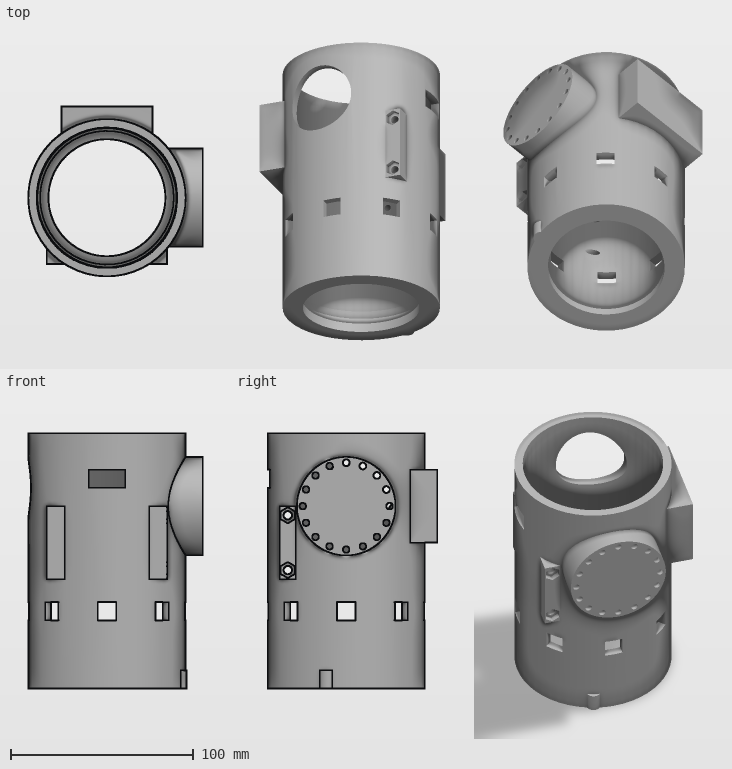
import cadquery as cq
import math

height = 140.0
outer_radius = 43.1
bore_radius = 38.5

shallow_step_radius = 38.1
shallow_step_top = 15.0
seat_radius = 36.6
seat_top = 10.0
opening_radius = 32.0
lip_thickness = 5.0

boss_radius = 27.0
boss_tip = 52.5
boss_height = 100.0
boss_hole_count = 16
boss_hole_diameter = 3.6
boss_hole_circle_radius = 23.8

block_width = 50.0
block_tip = 50.0
block_bottom = 80.0
block_top = 120.0

lug_side = 33.0
lug_front = 36.4
lug_bottom = 60.0
lug_top = 100.0
lug_hole_inset = 5.0
lug_hole_diameter = 4.5
lug_hole_offset = 32.0
nut_width = 7.6
nut_depth = 3.0

port_radius = 19.0
port_offset = 8.0
port_height = 110.0

window_width = 20.0
window_bottom = 110.0
window_top = 120.0

slot_count = 8
slot_size = 10.0
slot_height = 42.5

nub_radius = 4.0
nub_height = 10.0
nub_circle_radius = 41.1
nub_angle = math.radians(-15)


def box(x_range, y_range, z_range):
    """Box spanning the given (low, high) ranges."""
    sizes = [high - low for low, high in (x_range, y_range, z_range)]
    corner = (x_range[0], y_range[0], z_range[0])
    return cq.Workplane("XY").box(*sizes, centered=False).translate(corner)


def rod(radius, start, length, points):
    """Cylinders along +X from X = start, centred on the (Y, Z) points."""
    return cq.Workplane("YZ", origin=(start, 0, 0)).pushPoints(points).circle(radius).extrude(length)


def outside_body():
    """Solid outer shape, before the bore is opened."""
    body = cq.Workplane("XY").circle(outer_radius).extrude(height)
    body = body.union(rod(boss_radius, 0, boss_tip, [(0, boss_height)]))
    half_block = block_width / 2
    body = body.union(box((-half_block, half_block), (0, block_tip), (block_bottom, block_top)))
    body = body.union(box((-lug_side, lug_side), (-lug_front, 0), (lug_bottom, lug_top)))
    nub_x = nub_circle_radius * math.cos(nub_angle)
    nub_y = nub_circle_radius * math.sin(nub_angle)
    nub = cq.Workplane("XY").center(nub_x, nub_y).circle(nub_radius).extrude(nub_height)
    return body.union(nub)


def stepped_bore():
    """Main bore, the seat below it and the smaller bottom opening."""
    bore = cq.Workplane("XY").circle(opening_radius).extrude(height)
    steps = (
        (seat_radius, lip_thickness),
        (shallow_step_radius, seat_top),
        (bore_radius, shallow_step_top),
    )
    for radius, floor in steps:
        step = cq.Workplane("XY", origin=(0, 0, floor)).circle(radius).extrude(height - floor)
        bore = bore.union(step)
    return bore


def boss_holes():
    """Ring of holes through the boss into the bore."""
    points = []
    for index in range(boss_hole_count):
        angle = 2 * math.pi * index / boss_hole_count
        y = boss_hole_circle_radius * math.cos(angle)
        z = boss_height + boss_hole_circle_radius * math.sin(angle)
        points.append((y, z))
    return rod(boss_hole_diameter / 2, 0, boss_tip, points)


def lug_holes():
    """Cross holes through both lugs, with a hexagonal nut pocket at each outer end."""
    points = [(-lug_hole_offset, z) for z in (lug_bottom + lug_hole_inset, lug_top - lug_hole_inset)]
    holes = rod(lug_hole_diameter / 2, -lug_side, 2 * lug_side, points)
    nut_corner_diameter = nut_width / math.cos(math.pi / 6)
    for start in (-lug_side, lug_side - nut_depth):
        plane = cq.Workplane("YZ", origin=(start, 0, 0)).pushPoints(points)
        nut = cq.Sketch().regularPolygon(nut_corner_diameter / 2, 6)
        holes = holes.union(plane.placeSketch(nut).extrude(nut_depth))
    return holes


def wall_slots():
    """Square slots through the wall, equally spaced around the tube."""
    half = slot_size / 2
    slot = box((0, outer_radius + slot_size), (-half, half), (slot_height - half, slot_height + half))
    slots = slot
    for index in range(1, slot_count):
        slots = slots.union(slot.rotate((0, 0, 0), (0, 0, 1), index * 360 / slot_count))
    return slots


def side_port():
    """Round hole through the -X wall."""
    return rod(port_radius, -outer_radius, outer_radius, [(port_offset, port_height)])


def front_window():
    """Rectangular opening through the -Y wall."""
    half = window_width / 2
    return box((-half, half), (-outer_radius, 0), (window_bottom, window_top))


result = outside_body().cut(stepped_bore())
for opening in (boss_holes(), lug_holes(), wall_slots(), side_port(), front_window()):
    result = result.cut(opening)